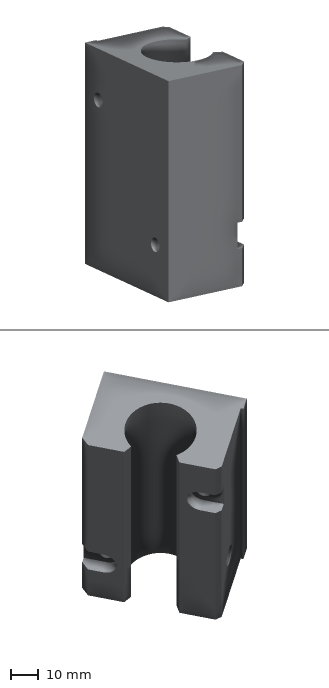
import cadquery as cq
import math

width = 53.0
depth = 35.0
height = 84.0

bore_radius = 13.0
bore_x = width / 2
bore_y = 22.0
throat_half_width = 8.4
mouth_half_width = 10.25

lip_width = 1.0
lip_depth = 4.95
right_chamfer = 2.85
left_chamfer = right_chamfer - lip_width

mount_diameter = 5.4
mount_offset_x = 18.1
mount_offset_z = 22.5
head_recess_width = 10.0
head_recess_depth = 4.95

side_hole_z = 21.5
side_hole_diameter = 4.4
side_recess_diameter = 8.0
side_recess_depth = 8.4


def make_body():
    """Extruded block with its lip and chamfers."""
    outline = [
        (0, 0),
        (width, 0),
        (width, depth - right_chamfer),
        (width - right_chamfer, depth),
        (lip_width + left_chamfer, depth),
        (lip_width, depth - left_chamfer),
        (lip_width, lip_depth),
        (0, lip_depth),
    ]
    return cq.Workplane("XY").polyline(outline).close().extrude(height)


def make_bore():
    """Round bore joined to the tapered mouth in the back face."""
    throat_y = bore_y + math.sqrt(bore_radius**2 - throat_half_width**2)
    return (
        cq.Workplane("XY")
        .moveTo(bore_x - throat_half_width, throat_y)
        .threePointArc((bore_x, bore_y - bore_radius), (bore_x + throat_half_width, throat_y))
        .lineTo(bore_x + mouth_half_width, depth)
        .lineTo(bore_x - mouth_half_width, depth)
        .close()
        .extrude(height)
    )


def make_mount_cut(side):
    """Screw hole and round-ended head recess; side is -1 for upper left, +1 for lower right."""
    x = width / 2 + side * mount_offset_x
    z = height / 2 - side * mount_offset_z
    hole = cq.Workplane("XZ", origin=(x, 0, z)).circle(mount_diameter / 2).extrude(-depth)
    recess_plane = cq.Workplane("XZ", origin=(x, depth, z))
    round_end = recess_plane.circle(head_recess_width / 2).extrude(head_recess_depth)
    open_side = (
        recess_plane
        .center(side * width / 4, 0)
        .rect(width / 2, head_recess_width)
        .extrude(head_recess_depth)
    )
    return hole.union(round_end).union(open_side)


def make_side_cut():
    """Narrow hole into the bore with a wider recess at the left face."""
    side_plane = cq.Workplane("YZ", origin=(lip_width, bore_y, side_hole_z))
    hole = side_plane.circle(side_hole_diameter / 2).extrude(bore_x - lip_width)
    recess = side_plane.circle(side_recess_diameter / 2).extrude(side_recess_depth)
    return hole.union(recess)


result = make_body().cut(make_bore())
for mount_side in (-1, 1):
    result = result.cut(make_mount_cut(mount_side))
result = result.cut(make_side_cut())